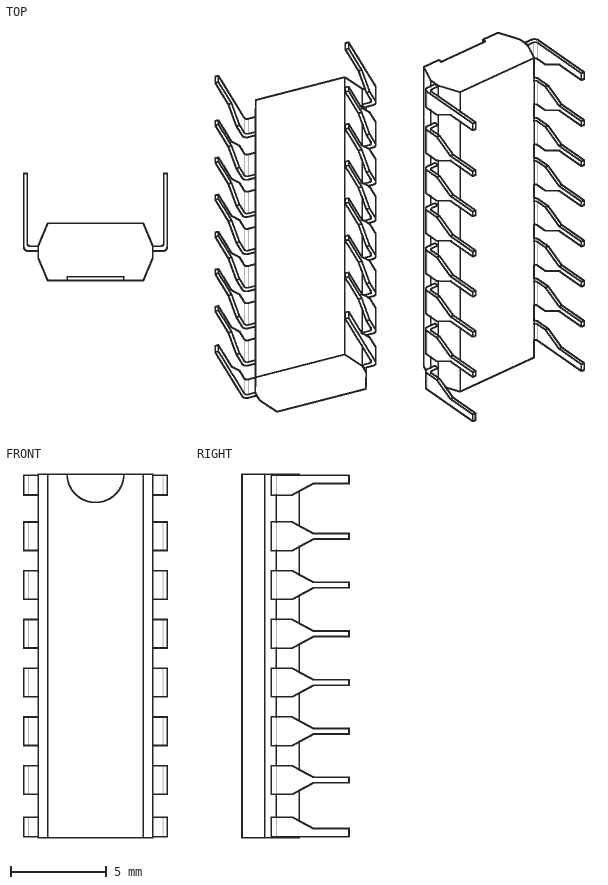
import cadquery as cq


body_length = 19.0
body_depth = 3.0
body_width = 6.0
face_width = 5.0
band_front = 1.2
band_back = body_depth - band_front

notch_radius = 1.48
notch_depth = 0.2

lead_span = 7.5
lead_tip = 5.6
leg_thickness = 0.19
shoulder_thickness = 0.27
outer_bend_radius = 0.25
inner_bend_radius = 0.15
shoulder_front = band_back - shoulder_thickness
pin_length = 1.86
taper_length = 1.12
taper_end = lead_tip - pin_length
taper_start = taper_end - taper_length
pin_width = 0.3
shoulder_width = 1.5

inner_lead_count = 6
lead_pitch = 2.55
inner_lead_shift = -0.11
end_gap = 0.05
end_lead_overhang = 0.28
end_lead_z = body_length / 2 - end_gap - end_lead_overhang


def make_body():
    half_body = body_width / 2
    half_face = face_width / 2
    section = [
        (-half_face, 0),
        (half_face, 0),
        (half_body, band_front),
        (half_body, band_back),
        (half_face, body_depth),
        (-half_face, body_depth),
        (-half_body, band_back),
        (-half_body, band_front),
    ]
    body = cq.Workplane("XY").polyline(section).close().extrude(body_length / 2, both=True)
    notch = (
        cq.Workplane("XZ", origin=(0, 0, body_length / 2))
        .circle(notch_radius)
        .extrude(-notch_depth)
    )
    return body.cut(notch)


def make_bent_strip():
    """L-shaped strip on the +X side, as long in Z as the body."""
    inner_x = body_width / 2
    outer_x = lead_span / 2
    leg_x = outer_x - leg_thickness
    return (
        cq.Workplane("XY")
        .moveTo(inner_x, shoulder_front)
        .lineTo(outer_x - outer_bend_radius, shoulder_front)
        .radiusArc((outer_x, shoulder_front + outer_bend_radius), -outer_bend_radius)
        .lineTo(outer_x, lead_tip)
        .lineTo(leg_x, lead_tip)
        .lineTo(leg_x, band_back + inner_bend_radius)
        .radiusArc((leg_x - inner_bend_radius, band_back), inner_bend_radius)
        .lineTo(inner_x, band_back)
        .close()
        .extrude(body_length / 2, both=True)
    )


def half_lead_outline(center_z, side):
    """Tapered edge of a lead, from tip to shoulder, on its +Z (1) or -Z (-1) side."""
    pin_z = center_z + side * pin_width / 2
    shoulder_z = center_z + side * shoulder_width / 2
    return [
        (lead_tip, pin_z),
        (taper_end, pin_z),
        (taper_start, shoulder_z),
        (shoulder_front, shoulder_z),
    ]


def straight_edge(z):
    """Untapered edge of a lead, from tip to shoulder."""
    return [(lead_tip, z), (shoulder_front, z)]


def make_lead(strip, upper_edge, lower_edge):
    """Part of the strip between two edges, each listed as (Y, Z) from tip to shoulder."""
    outline = upper_edge + lower_edge[::-1]
    blank = cq.Workplane("YZ").polyline(outline).close().extrude(lead_span / 2)
    return strip.intersect(blank)


def make_lead_row():
    strip = make_bent_strip()
    leads = []
    for index in range(inner_lead_count):
        z = inner_lead_shift + (index - (inner_lead_count - 1) / 2) * lead_pitch
        leads.append(make_lead(strip, half_lead_outline(z, 1), half_lead_outline(z, -1)))
    for end in (1, -1):
        z = end * end_lead_z
        outer_edge = straight_edge(z + end * end_lead_overhang)
        leads.append(make_lead(strip, outer_edge, half_lead_outline(z, -end)))
    return leads


result = make_body()
for lead in make_lead_row():
    result = result.union(lead).union(lead.mirror("YZ"))